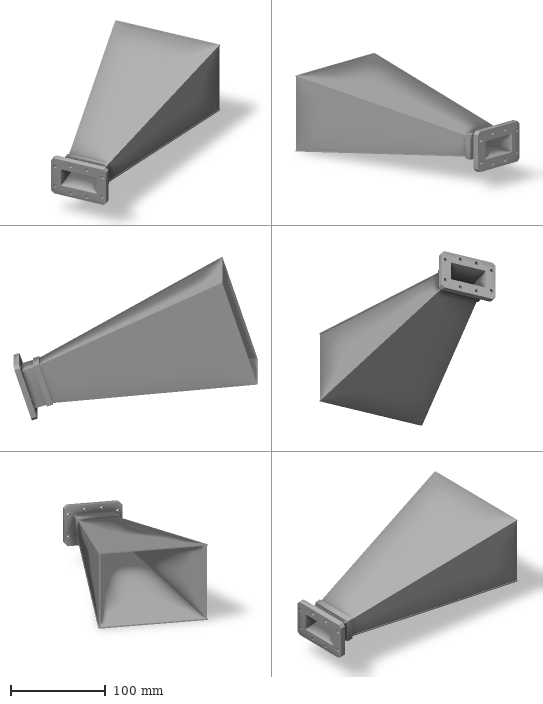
import cadquery as cq

LENGTH = 240.5
MOUTH_WIDTH = 119.5
MOUTH_HEIGHT = 83.2
SHEET = 1.5
OVERHANG = 0.7

BORE_WIDTH = 40.5
BORE_HEIGHT = 20.2
TUBE_WALL = 2.0
TUBE_WIDTH = BORE_WIDTH + 2 * TUBE_WALL
TUBE_HEIGHT = BORE_HEIGHT + 2 * TUBE_WALL

COLLAR_START = 19.0
COLLAR_END = 25.7
COLLAR_WALL = 1.5
COLLAR_WIDTH = TUBE_WIDTH + 2 * COLLAR_WALL
COLLAR_HEIGHT = TUBE_HEIGHT + 2 * COLLAR_WALL

FLANGE_WIDTH = 63.0
FLANGE_HEIGHT = 44.3
FLANGE_THICKNESS = 6.3
FLANGE_CHAMFER = 3.1
HOLE_DIAMETER = 3.8
SIDE_HOLE_X = 27.0
SIDE_HOLE_Z = 12.3
EDGE_HOLE_X = 9.4
EDGE_HOLE_Z = 16.8

THROAT_WIDTH = BORE_WIDTH + 2 * (SHEET + OVERHANG)
THROAT_HEIGHT = BORE_HEIGHT + 2 * SHEET


def block(width, height, y_start, y_end):
    """Rectangular block centred on the axis between two Y positions."""
    return (
        cq.Workplane("XZ", origin=(0, y_start, 0))
        .rect(width, height)
        .extrude(y_start - y_end)
    )


def flare(side_inset, top_inset):
    """Tapered solid from collar to mouth, inset from the horn's outer size."""
    return (
        cq.Workplane("XZ", origin=(0, COLLAR_END, 0))
        .rect(THROAT_WIDTH - 2 * side_inset, THROAT_HEIGHT - 2 * top_inset)
        .workplane(offset=COLLAR_END - LENGTH)
        .rect(MOUTH_WIDTH - 2 * side_inset, MOUTH_HEIGHT - 2 * top_inset)
        .loft(ruled=True)
    )


def make_horn():
    """Hollow pyramid whose side sheets sit inside the top and bottom sheets."""
    top_and_bottom = flare(0, 0).cut(flare(0, SHEET))
    sides = flare(OVERHANG, SHEET).cut(flare(OVERHANG + SHEET, SHEET))
    return top_and_bottom.union(sides)


def make_flange():
    """Mounting plate with chamfered corners and eight through holes."""
    plate = block(FLANGE_WIDTH, FLANGE_HEIGHT, 0, FLANGE_THICKNESS)
    plate = plate.edges("|Y").chamfer(FLANGE_CHAMFER)
    hole_centres = [
        (x_sign * x, z_sign * z)
        for x, z in ((SIDE_HOLE_X, SIDE_HOLE_Z), (EDGE_HOLE_X, EDGE_HOLE_Z))
        for x_sign in (-1, 1)
        for z_sign in (-1, 1)
    ]
    holes = (
        cq.Workplane("XZ")
        .pushPoints(hole_centres)
        .circle(HOLE_DIAMETER / 2)
        .extrude(-FLANGE_THICKNESS)
    )
    return plate.cut(holes)


tube = block(TUBE_WIDTH, TUBE_HEIGHT, 0, COLLAR_END)
collar = block(COLLAR_WIDTH, COLLAR_HEIGHT, COLLAR_START, COLLAR_END)
bore = block(BORE_WIDTH, BORE_HEIGHT, 0, COLLAR_END)
feed = make_flange().union(tube).union(collar).cut(bore)

result = feed.union(make_horn())